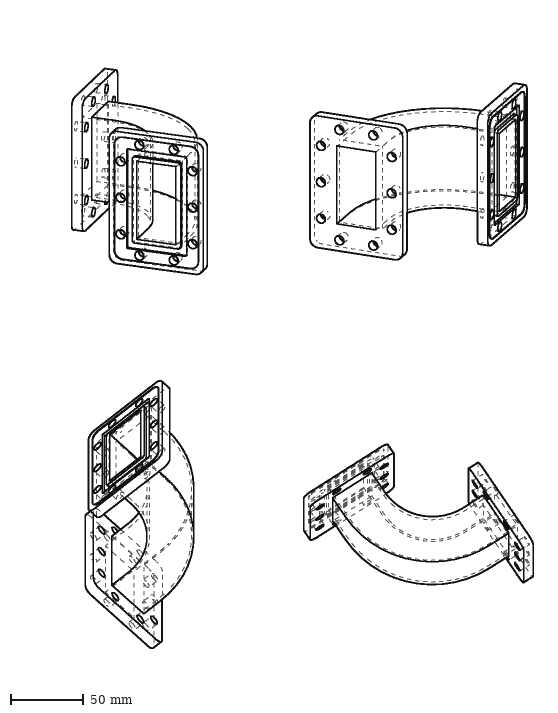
import cadquery as cq

port_offset = 80.0
flange_width = 69.9
flange_height = 98.4
flange_thickness = 7.9
flange_corner = 6.0

bore_width = 29.1
bore_height = 58.2
wall = 1.7
tube_width = bore_width + 2 * wall
tube_height = bore_height + 2 * wall
straight_end = 23.9
bend_radius = port_offset - straight_end

bolt_diameter = 6.5
side_bolt_across = 26.7
side_bolt_pitch = 27.1
end_bolt_across = 12.8
end_bolt_up = 41.2

rim = 3.8
recess_depth = 0.4
groove_outer_width = 44.5
groove_outer_height = 73.9
groove_outer_corner = 1.3
groove_inner_width = 35.9
groove_inner_height = 64.1
groove_inner_corner = 2.1
groove_depth = 2.3

port_x = cq.Plane(origin=(0, port_offset, 0), xDir=(0, 1, 0), normal=(1, 0, 0))
port_y = cq.Plane(origin=(port_offset, 0, 0), xDir=(-1, 0, 0), normal=(0, 1, 0))


def rounded_block(plane, width, height, corner, depth):
    """Block with rounded corners, standing on a port plane."""
    outline = cq.Sketch().rect(width, height).vertices().fillet(corner)
    return cq.Workplane(plane).placeSketch(outline).extrude(depth)


def elbow(width, height):
    """Solid rectangular bar: straight, quarter bend, straight."""
    path = (
        cq.Workplane("XY")
        .moveTo(0, port_offset)
        .lineTo(straight_end, port_offset)
        .radiusArc((port_offset, straight_end), bend_radius)
        .lineTo(port_offset, 0)
    )
    return cq.Workplane(port_x).rect(width, height).sweep(path)


def bolt_holes(plane):
    """Ten bolt holes: a row of three on each side and a pair at each end."""
    centres = []
    for side in (-1, 1):
        centres += [(side * side_bolt_across, row * side_bolt_pitch) for row in (-1, 0, 1)]
        centres += [(end * end_bolt_across, side * end_bolt_up) for end in (-1, 1)]
    return cq.Workplane(plane).pushPoints(centres).circle(bolt_diameter / 2).extrude(flange_thickness)


def flange(plane):
    """Flange plate without its bore."""
    plate = rounded_block(plane, flange_width, flange_height, flange_corner, flange_thickness)
    return plate.cut(bolt_holes(plane))


def sealing_face_cut():
    """Shallow recess with a deeper groove, around an island level with the flange face."""
    recess = rounded_block(
        port_y, flange_width - 2 * rim, flange_height - 2 * rim, flange_corner, recess_depth
    )
    groove = rounded_block(
        port_y, groove_outer_width, groove_outer_height, groove_outer_corner, groove_depth
    )
    island = rounded_block(
        port_y, groove_inner_width, groove_inner_height, groove_inner_corner, groove_depth
    )
    return recess.union(groove).cut(island)


body = elbow(tube_width, tube_height).union(flange(port_x)).union(flange(port_y))
result = body.cut(sealing_face_cut()).cut(elbow(bore_width, bore_height))